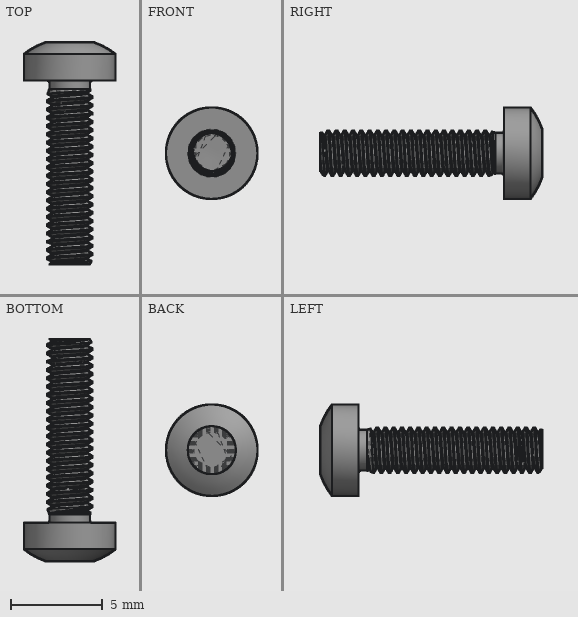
import cadquery as cq
import math


head_radius = 2.5
head_height = 2.1
dome_radius = 4.0
head_top_radius = 1.31
head_edge_fillet = 0.04

neck_radius = 1.115
neck_length = 0.46
neck_fillet = 0.1

shank_length = 10.0
thread_radius = 1.25
thread_taper_length = 0.4
pitch = 0.45
thread_angle = 60
flank_slope = math.tan(math.radians(thread_angle / 2))
sharp_height = pitch / 2 / flank_slope
thread_depth = sharp_height * 17 / 24
crest_flat = pitch / 8
root_radius = thread_radius - thread_depth

full_depth_z = 0.67
runout_rise = 0.16
groove_overcut = 0.01

tip_radius = 1.09
tip_chamfer_angle = 30
tip_chamfer_length = (thread_radius - tip_radius) / math.tan(math.radians(tip_chamfer_angle))
dish_radius = 1.02
dish_depth = 0.035


def dome_height(radius):
    """Height of the dome sphere above its centre at a distance from the axis."""
    return math.sqrt(dome_radius**2 - radius**2)


def make_head():
    dome_centre_z = dome_height(head_top_radius) - head_height
    rim_z = dome_centre_z - dome_height(head_radius)
    mid_radius = (head_top_radius + head_radius) / 2
    head = (
        cq.Workplane("XZ")
        .lineTo(head_radius, 0)
        .lineTo(head_radius, rim_z)
        .threePointArc(
            (mid_radius, dome_centre_z - dome_height(mid_radius)),
            (head_top_radius, -head_height),
        )
        .lineTo(0, -head_height)
        .close()
        .revolve(360, (0, 0), (0, 1))
    )
    return head.faces(">Z").edges().fillet(head_edge_fillet)


def make_neck():
    """Plain cylinder that flares into the bearing face with a concave fillet."""
    return (
        cq.Workplane("XZ")
        .lineTo(neck_radius + neck_fillet, 0)
        .radiusArc((neck_radius, neck_fillet), neck_fillet)
        .lineTo(neck_radius, neck_length)
        .lineTo(0, neck_length)
        .close()
        .revolve(360, (0, 0), (0, 1))
    )


def make_shank_blank():
    """Shank before threading: taper up to the crest, chamfered and dished tip."""
    return (
        cq.Workplane("XZ")
        .moveTo(0, neck_length)
        .lineTo(neck_radius, neck_length)
        .lineTo(thread_radius, neck_length + thread_taper_length)
        .lineTo(thread_radius, shank_length - tip_chamfer_length)
        .lineTo(tip_radius, shank_length)
        .lineTo(dish_radius, shank_length)
        .lineTo(0, shank_length - dish_depth)
        .close()
        .revolve(360, (0, 0), (0, 1))
    )


def make_groove(helix_radius, helix_height):
    """Right-hand helical cutter about Z whose root starts on +X at Z = 0."""
    outer_radius = helix_radius + thread_depth + groove_overcut
    outer_half_width = (pitch - crest_flat) / 2 + groove_overcut * flank_slope
    root_half_width = (pitch - crest_flat) / 2 - thread_depth * flank_slope
    helix = cq.Wire.makeHelix(pitch, helix_height, helix_radius)
    return (
        cq.Workplane("XZ")
        .moveTo(helix_radius, -root_half_width)
        .lineTo(outer_radius, -outer_half_width)
        .lineTo(outer_radius, outer_half_width)
        .lineTo(helix_radius, root_half_width)
        .close()
        .sweep(cq.Workplane(helix), isFrenet=True)
    )


def make_main_groove():
    """Full-depth groove that leaves through the tip."""
    helix_height = shank_length + pitch - full_depth_z
    groove = make_groove(root_radius, helix_height)
    return groove.translate((0, 0, full_depth_z))


def make_runout_groove():
    """Half turn about a shifted axis, so the root climbs from the groove to the neck."""
    shift = runout_rise / 2
    groove = make_groove(root_radius + shift, pitch / 2)
    return groove.rotate((0, 0, 0), (0, 0, 1), 180).translate((-shift, 0, full_depth_z - pitch / 2))


threaded_shank = make_shank_blank().cut(make_main_groove()).cut(make_runout_groove())
screw = make_head().union(make_neck()).union(threaded_shank)

result = screw.rotate((0, 0, 0), (1, 0, 0), 90)